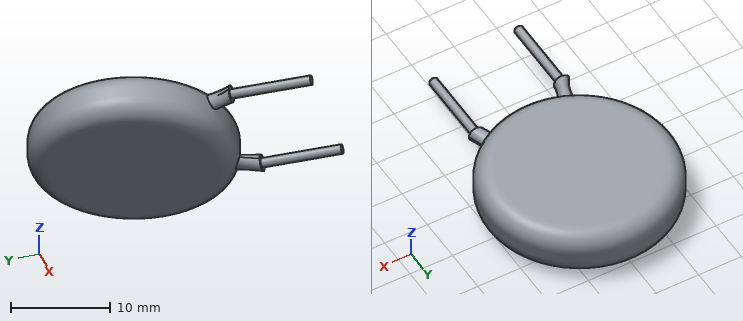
import cadquery as cq


disc_diameter = 21.5
disc_thickness = 5.22
edge_radius = 2.0

overall_length = 31.25
lead_diameter = 1.0
lead_pitch = 10.0
lead_height = 1.12
lead_tip_y = disc_diameter / 2 - overall_length

sleeve_end_y = -12.0
waist_distance = 0.55
root_distance = 3.88
lean = 0.4

left_sections = [(1.8, 1.75), (1.55, 1.75), (3.2, 1.72)]
right_sections = [(1.75, 1.72), (1.8, 1.55), (2.25, 1.55)]


def make_disc():
    return (
        cq.Workplane("XY", origin=(0, 0, -disc_thickness / 2))
        .circle(disc_diameter / 2)
        .extrude(disc_thickness)
        .edges("%CIRCLE")
        .fillet(edge_radius)
    )


def make_lead(side):
    """Straight wire from inside its sleeve to the tip; side is -1 (left) or +1 (right)."""
    start_y = sleeve_end_y + waist_distance
    return (
        cq.Workplane("XZ", origin=(side * lead_pitch / 2, start_y, -side * lead_height))
        .circle(lead_diameter / 2)
        .extrude(start_y - lead_tip_y)
    )


def make_outline(centre, width, height):
    """Ellipse facing -Y, made of two halves so that all sections join at their sides."""
    halves = [
        cq.Edge.makeEllipse(
            width / 2, height / 2, centre, cq.Vector(0, -1, 0), cq.Vector(1, 0, 0), start, start + 180
        )
        for start in (0, 180)
    ]
    return cq.Wire.assembleEdges(halves)


def make_sleeve(side, sections):
    """Flared sleeve leaning from the lead toward the middle of the disc."""
    outlines = []
    for distance, (width, height) in zip((0, waist_distance, root_distance), sections):
        centre = cq.Vector(
            side * (lead_pitch / 2 - lean * distance),
            sleeve_end_y + distance,
            -side * lead_height,
        )
        outlines.append(make_outline(centre, width, height))
    return cq.Workplane(cq.Solid.makeLoft(outlines))


result = make_disc()
for side, sections in ((-1, left_sections), (1, right_sections)):
    result = result.union(make_sleeve(side, sections))
    result = result.union(make_lead(side))